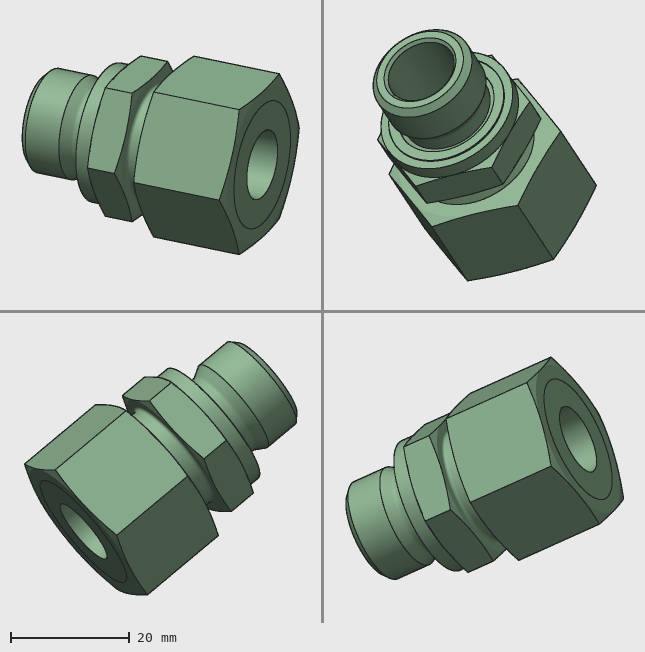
import cadquery as cq
import math

LENGTH = 41.0
STUD_END = -LENGTH / 2
STUD_THREAD_END = STUD_END + 7.4
SEAL_FACE = STUD_END + 11.7
FLANGE_FACE = STUD_END + 11.97
NECK_END = STUD_END + 12.1
HEX_START = STUD_END + 14.55
HEX_END = STUD_END + 20.55
RELIEF_END = STUD_END + 23.12
NUT_START = STUD_END + 23.95
NUT_END = LENGTH / 2

STUD_RADIUS = 8.98
STUD_CHAMFER = 1.1
NECK_RADIUS = 7.85
NECK_BLEND_RADIUS = 1.02
FLANGE_RADIUS = 11.97
BODY_HEX_FLATS = 2 * FLANGE_RADIUS
RELIEF_RADIUS = 9.85
RELIEF_FILLET = 0.55
SHANK_RADIUS = 11.0
BORE_RADIUS = 6.0
BORE_CHAMFER = 0.55

SEAL_OUTER_RADIUS = 10.45
SEAL_INNER_RADIUS = 8.7

NUT_HEX_FLATS = 27.0

RUNOUT_ANGLE = math.radians(30)
HEX_CHAMFER_ANGLE = math.radians(15)
RECESS_FLOOR_ANGLE = math.radians(25)

SEAL_BACK = NECK_END + (SEAL_INNER_RADIUS - NECK_RADIUS) * math.tan(RECESS_FLOOR_ANGLE)


def revolve_about_x(profile):
    """Close an (x, radius) profile and revolve it a full turn about the X axis."""
    return profile.close().revolve(360, (0, 0, 0), (1, 0, 0))


def cylinder_x(start, end, radius):
    """Solid cylinder on the X axis between two stations."""
    return cq.Workplane("YZ", origin=(start, 0, 0)).circle(radius).extrude(end - start)


def chamfered_hex(start, end, flats):
    """Hexagonal prism on the X axis, corners on +/-Y, with the corners coned off at both ends."""
    corner_radius = flats / math.sqrt(3)
    face_radius = flats / 2
    cone_length = (corner_radius - face_radius) * math.tan(HEX_CHAMFER_ANGLE)
    prism = (
        cq.Workplane("YZ", origin=(start, 0, 0))
        .polygon(6, 2 * corner_radius)
        .extrude(end - start)
    )
    envelope = revolve_about_x(
        cq.Workplane("XY")
        .moveTo(start, 0)
        .lineTo(start, face_radius)
        .lineTo(start + cone_length, corner_radius)
        .lineTo(end - cone_length, corner_radius)
        .lineTo(end, face_radius)
        .lineTo(end, 0)
    )
    return prism.intersect(envelope)


def make_stud():
    """Stud with a lead-in chamfer and a conical runout blended into a neck."""
    runout_end = STUD_THREAD_END + (STUD_RADIUS - NECK_RADIUS) / math.tan(RUNOUT_ANGLE)
    blend_end = runout_end + NECK_BLEND_RADIUS * math.tan(RUNOUT_ANGLE / 2)

    def blend_point(angle):
        """Point on the blend arc, at an angle back from where it meets the neck."""
        return (
            blend_end - NECK_BLEND_RADIUS * math.sin(angle),
            NECK_RADIUS + NECK_BLEND_RADIUS * (1 - math.cos(angle)),
        )

    return revolve_about_x(
        cq.Workplane("XY")
        .moveTo(STUD_END, 0)
        .lineTo(STUD_END, STUD_RADIUS - STUD_CHAMFER)
        .lineTo(STUD_END + STUD_CHAMFER, STUD_RADIUS)
        .lineTo(STUD_THREAD_END, STUD_RADIUS)
        .lineTo(*blend_point(RUNOUT_ANGLE))
        .threePointArc(blend_point(RUNOUT_ANGLE / 2), blend_point(0))
        .lineTo(HEX_START, NECK_RADIUS)
        .lineTo(HEX_START, 0)
    )


def make_flange():
    """Round flange, its face recessed for the seal down to a sloping floor next to the neck."""
    return revolve_about_x(
        cq.Workplane("XY")
        .moveTo(NECK_END, 0)
        .lineTo(NECK_END, NECK_RADIUS)
        .lineTo(SEAL_BACK, SEAL_INNER_RADIUS)
        .lineTo(SEAL_BACK, SEAL_OUTER_RADIUS)
        .lineTo(FLANGE_FACE, SEAL_OUTER_RADIUS)
        .lineTo(FLANGE_FACE, FLANGE_RADIUS)
        .lineTo(HEX_START, FLANGE_RADIUS)
        .lineTo(HEX_START, 0)
    )


def make_shank():
    """Shank inside the nut, with a relief filleted to the hexagon and coned up to the full size."""
    full_size_start = RELIEF_END + (SHANK_RADIUS - RELIEF_RADIUS) / math.tan(RUNOUT_ANGLE)
    return revolve_about_x(
        cq.Workplane("XY")
        .moveTo(HEX_END, 0)
        .lineTo(HEX_END, RELIEF_RADIUS + RELIEF_FILLET)
        .radiusArc((HEX_END + RELIEF_FILLET, RELIEF_RADIUS), -RELIEF_FILLET)
        .lineTo(RELIEF_END, RELIEF_RADIUS)
        .lineTo(full_size_start, SHANK_RADIUS)
        .lineTo(NUT_END, SHANK_RADIUS)
        .lineTo(NUT_END, 0)
    )


def make_bore():
    """Through bore with a chamfered mouth at the stud end."""
    return revolve_about_x(
        cq.Workplane("XY")
        .moveTo(STUD_END, 0)
        .lineTo(STUD_END, BORE_RADIUS + BORE_CHAMFER)
        .lineTo(STUD_END + BORE_CHAMFER, BORE_RADIUS)
        .lineTo(NUT_END, BORE_RADIUS)
        .lineTo(NUT_END, 0)
    )


def make_body():
    return (
        make_stud()
        .union(make_flange())
        .union(chamfered_hex(HEX_START, HEX_END, BODY_HEX_FLATS))
        .union(make_shank())
        .cut(make_bore())
    )


def make_seal():
    """Plain ring that stands slightly proud of the flange face."""
    ring = cylinder_x(SEAL_FACE, SEAL_BACK, SEAL_OUTER_RADIUS)
    return ring.cut(cylinder_x(SEAL_FACE, SEAL_BACK, SEAL_INNER_RADIUS))


def make_nut():
    """Hexagonal nut bored to fit over the shank."""
    blank = chamfered_hex(NUT_START, NUT_END, NUT_HEX_FLATS)
    return blank.cut(cylinder_x(NUT_START, NUT_END, SHANK_RADIUS))


body = make_body()
seal = make_seal()
nut = make_nut()

result = cq.Compound.makeCompound([body.val(), seal.val(), nut.val()])